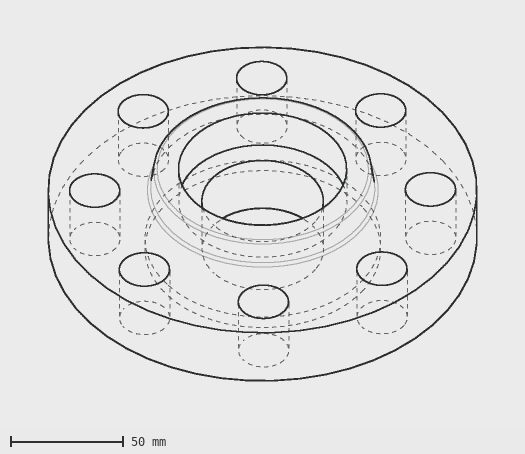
import cadquery as cq

flange_diameter = 190.5
flange_thickness = 28.7
raised_face_diameter = 104.8
raised_face_height = 6.35
overall_height = 47.5

hub_base_diameter = 100.0
hub_draft_angle = 8.0
hub_root_radius = 1.5
hub_rim_radius = 1.5

bore_diameter = 54.0
socket_diameter = 74.7
socket_depth = 19.0

bolt_count = 8
bolt_circle_diameter = 149.2
bolt_hole_diameter = 22.3

hub_height = overall_height - raised_face_height - flange_thickness
top_z = flange_thickness + hub_height


def make_disc():
    """Flange disc with the raised sealing face below it."""
    disc = cq.Workplane("XY").circle(flange_diameter / 2).extrude(flange_thickness)
    raised_face = cq.Workplane("XY").circle(raised_face_diameter / 2).extrude(-raised_face_height)
    return disc.union(raised_face)


def add_hub(body):
    """Tapered hub on top of the disc, blended at its root and rim."""
    hub = (
        cq.Workplane("XY")
        .workplane(offset=flange_thickness)
        .circle(hub_base_diameter / 2)
        .extrude(hub_height, taper=hub_draft_angle)
    )
    hub = hub.faces(">Z").edges().fillet(hub_rim_radius)
    body = body.union(hub)
    disc_top = body.faces("%PLANE").faces(">Z[-2]")
    return disc_top.edges(cq.selectors.RadiusNthSelector(0)).fillet(hub_root_radius)


def cut_bore_and_socket(body):
    """Through bore with the socket counterbored from the hub end."""
    bore = (
        cq.Workplane("XY")
        .workplane(offset=-raised_face_height)
        .circle(bore_diameter / 2)
        .extrude(overall_height)
    )
    socket = (
        cq.Workplane("XY")
        .workplane(offset=top_z - socket_depth)
        .circle(socket_diameter / 2)
        .extrude(socket_depth)
    )
    return body.cut(bore).cut(socket)


def cut_bolt_holes(body):
    """Ring of through holes, the first one on the +X axis."""
    holes = (
        cq.Workplane("XY")
        .polarArray(bolt_circle_diameter / 2, startAngle=0, angle=360, count=bolt_count)
        .circle(bolt_hole_diameter / 2)
        .extrude(flange_thickness)
    )
    return body.cut(holes)


result = cut_bolt_holes(cut_bore_and_socket(add_hub(make_disc())))